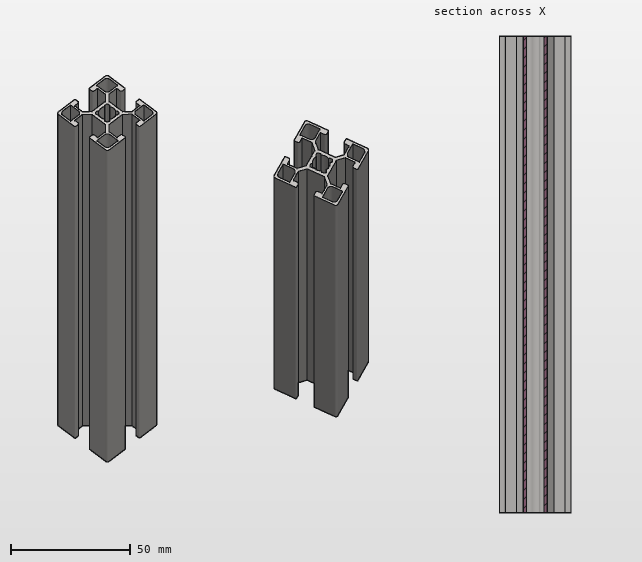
import cadquery as cq
import math

width = 30.0
length = 200.0
half_width = width / 2
corner_radius = 1.0

slot_opening = 8.2
slot_inner_width = 13.6
lip_thickness = 2.5
lip_outer_radius = 0.35
lip_inner_radius = 0.7

core_width = 10.2
rib_thickness = 1.5

chamber_outer_wall = 1.0
chamber_slot_wall = 0.9
chamber_radius = 1.7

bore_diameter = 7.4
notch_width = 1.9
notch_corner_radius = 0.6

lip_tip = slot_opening / 2
lip_base = half_width - lip_thickness
tube_inner_edge = slot_inner_width / 2


def rectangle(x_min, x_max, y_min, y_max):
    """Full-length bar between the given limits."""
    center_x = (x_min + x_max) / 2
    center_y = (y_min + y_max) / 2
    section = cq.Workplane().center(center_x, center_y).rect(x_max - x_min, y_max - y_min)
    return section.extrude(length)


def round_edge(body, x, y, radius):
    """Round the lengthwise edge of the body that passes through (x, y)."""
    return body.edges(cq.selectors.NearestToPointSelector((x, y, length / 2))).fillet(radius)


def slot_lip():
    """Lip along the +Y face that reaches over the slot, from the +X side toward the middle."""
    lip = rectangle(lip_tip, half_width, lip_base, half_width)
    lip = round_edge(lip, lip_tip, half_width, lip_outer_radius)
    return round_edge(lip, lip_tip, lip_base, lip_inner_radius)


def corner_tube():
    """Square tube in the +X +Y corner with a lip reaching over each neighbouring slot."""
    tube = rectangle(tube_inner_edge, half_width, tube_inner_edge, half_width)
    lip = slot_lip()
    mirrored_lip = lip.mirror("YZ").rotate((0, 0, 0), (0, 0, 1), -90)
    tube = tube.union(lip).union(mirrored_lip)
    return round_edge(tube, half_width, half_width, corner_radius)


def corner_chamber():
    """Hollow of the corner tube, rounded at its two corners on the diagonal."""
    low = tube_inner_edge + chamber_slot_wall
    high = half_width - chamber_outer_wall
    chamber = rectangle(low, high, low, high)
    for corner in (low, high):
        chamber = round_edge(chamber, corner, corner, chamber_radius)
    return chamber


def diagonal_rib():
    """Rib along the +X +Y diagonal, from inside the core to inside the corner tube wall."""
    start = core_width / 2 - rib_thickness / 2
    end = tube_inner_edge + chamber_slot_wall
    rib_length = (end - start) * math.sqrt(2)
    middle = (start + end) / 2
    rib = cq.Workplane().rect(rib_length, rib_thickness).extrude(length)
    return rib.rotate((0, 0, 0), (0, 0, 1), 45).translate((middle, middle, 0))


def core_bore():
    """Round bore through the core with a rounded square notch in each corner."""
    bore = cq.Workplane().circle(bore_diameter / 2).extrude(length)
    notch_spacing = bore_diameter - notch_width
    notches = (
        cq.Workplane()
        .rarray(notch_spacing, notch_spacing, 2, 2)
        .rect(notch_width, notch_width)
        .extrude(length)
        .edges("|Z")
        .fillet(notch_corner_radius)
    )
    return bore.union(notches)


corner = corner_tube().union(diagonal_rib()).cut(corner_chamber())
profile = cq.Workplane().rect(core_width, core_width).extrude(length)
for angle in (0, 90, 180, 270):
    profile = profile.union(corner.rotate((0, 0, 0), (0, 0, 1), angle))

result = profile.cut(core_bore())